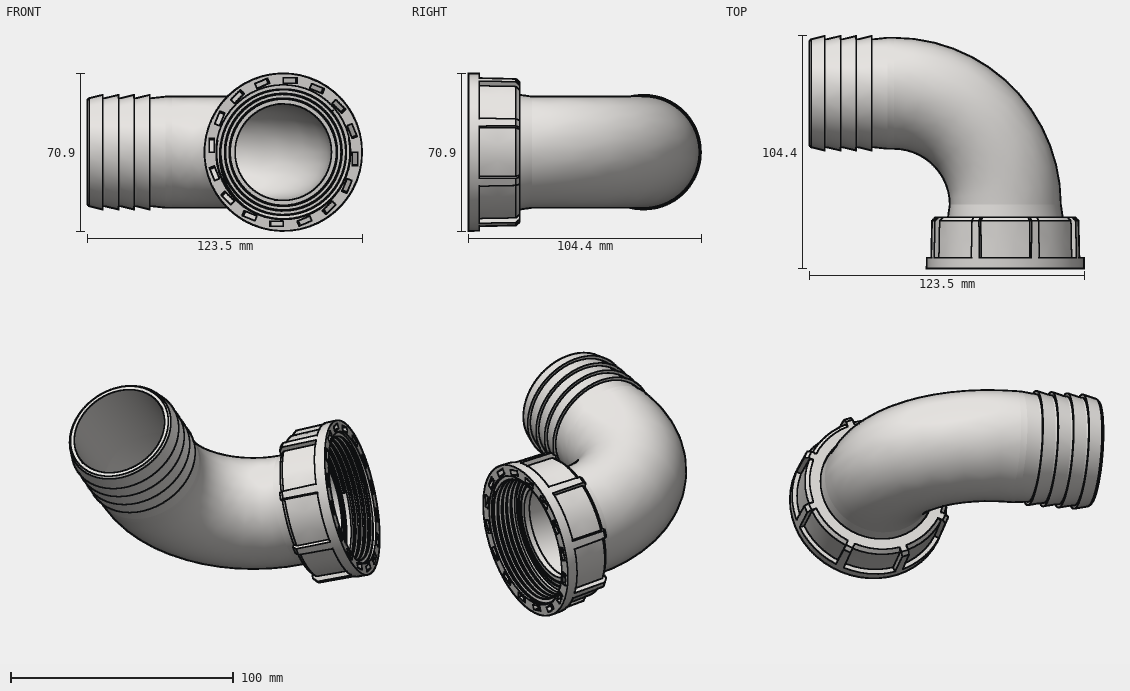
import cadquery as cq

NUT_AXIS_X = 88.0
HOSE_AXIS_Y = 78.6
BEND_RADIUS = 50.0
BORE_DIAMETER = 43.3
TUBE_DIAMETER = 50.0
NECK_DIAMETER = 51.6
COLLAR_DIAMETER = 56.0

BARB_COUNT = 4
BARB_PITCH = 7.0
BARB_DIAMETER = 51.6
VALLEY_DIAMETER = 48.6
VALLEY_WIDTH = 1.0
TIP_CHAMFER_LENGTH = 1.0
TIP_CHAMFER_DEPTH = 0.9
BARB_RUNOUT_X = 35.2

NUT_HEIGHT = 23.1
NUT_DIAMETER = 70.9
NUT_TOP_DIAMETER = 69.9
FLANGE_HEIGHT = 5.0
CORE_DIAMETER = 66.2
CORE_TOP_DIAMETER = 65.2
NUT_CHAMFER = 1.7
RIB_COUNT = 8
RIB_BASE_WIDTH = 4.0
RIB_TOP_WIDTH = 3.3
LIP_HOLE_DIAMETER = 51.9
LIP_THICKNESS = 3.1
CAVITY_DIAMETER = 56.7
MOUTH_DIAMETER = 60.5
MOUTH_DEPTH = 1.2

THREAD_PITCH = 2.3
THREAD_TURNS = 5
THREAD_DEPTH = 1.6
THREAD_START_ANGLE = 40
GROOVE_OVERLAP = 0.4
GROOVE_MOUTH_WIDTH = 2.0
GROOVE_ROOT_WIDTH = 0.9

POCKET_COUNT = 16
POCKET_INNER_RADIUS = 31.0
POCKET_WIDTH = 2.3
POCKET_LENGTH = 6.2
POCKET_DEPTH = 2.0
POCKET_WALL_RUN = 0.6

GASKET_FRONT_Y = 13.1
GASKET_THICKNESS = 2.8
BEAD_DIAMETER = 0.5
BEAD_CIRCLE_RADII = (24.1, 26.2)

BEND_START_X = NUT_AXIS_X - BEND_RADIUS
BEND_END_Y = HOSE_AXIS_Y - BEND_RADIUS
COLLAR_FRONT_Y = GASKET_FRONT_Y + GASKET_THICKNESS
LIP_Y = NUT_HEIGHT - LIP_THICKNESS


def revolve_about_nut_axis(points):
    """Solid of revolution about the nut axis from (radius, y) points."""
    profile = cq.Workplane("XY").polyline(points).close()
    return profile.revolve(360, (0, 0, 0), (0, 1, 0)).translate((NUT_AXIS_X, 0, 0))


def nut_cylinder(diameter, y_start, y_end):
    radius = diameter / 2
    return revolve_about_nut_axis([(0, y_start), (radius, y_start), (radius, y_end), (0, y_end)])


def bent_rod(diameter):
    """Quarter-torus rod that joins the hose end to the neck."""
    section = cq.Workplane("YZ", origin=(BEND_START_X, HOSE_AXIS_Y, 0)).circle(diameter / 2)
    return section.revolve(90, (-BEND_RADIUS, 0, 0), (-BEND_RADIUS, -1, 0))


def hose_end():
    """Solid barbed end, revolved about the hose axis."""
    tip_radius = VALLEY_DIAMETER / 2 - TIP_CHAMFER_DEPTH
    valley_radius = VALLEY_DIAMETER / 2
    barb_radius = BARB_DIAMETER / 2
    tube_radius = TUBE_DIAMETER / 2
    points = [(0, 0), (0, tip_radius), (TIP_CHAMFER_LENGTH, valley_radius)]
    for barb in range(1, BARB_COUNT + 1):
        peak_x = barb * BARB_PITCH
        points += [
            (peak_x, barb_radius),
            (peak_x, valley_radius),
            (peak_x + VALLEY_WIDTH, valley_radius),
        ]
    points += [(BARB_RUNOUT_X, tube_radius), (BEND_START_X, tube_radius), (BEND_START_X, 0)]
    profile = cq.Workplane("XY").polyline(points).close()
    return profile.revolve(360, (0, 0, 0), (1, 0, 0)).translate((0, HOSE_AXIS_Y, 0))


def neck_and_collar():
    """Flared neck that passes through the nut lip, with the collar that the lip holds."""
    neck_radius = NECK_DIAMETER / 2
    collar_radius = COLLAR_DIAMETER / 2
    return revolve_about_nut_axis([
        (0, BEND_END_Y),
        (TUBE_DIAMETER / 2, BEND_END_Y),
        (neck_radius, NUT_HEIGHT),
        (neck_radius, LIP_Y),
        (collar_radius, LIP_Y),
        (collar_radius, COLLAR_FRONT_Y),
        (0, COLLAR_FRONT_Y),
    ])


def make_elbow():
    hose_bore = cq.Workplane("YZ", origin=(0, HOSE_AXIS_Y, 0)).circle(BORE_DIAMETER / 2).extrude(BEND_START_X)
    outside = hose_end().union(bent_rod(TUBE_DIAMETER)).union(neck_and_collar())
    return (
        outside.cut(hose_bore)
        .cut(bent_rod(BORE_DIAMETER))
        .cut(nut_cylinder(BORE_DIAMETER, COLLAR_FRONT_Y, BEND_END_Y))
    )


def drafted_blank(base_diameter, top_diameter, base_y):
    """Cone frustum up to the closed end of the nut, with a chamfered top edge."""
    blank = revolve_about_nut_axis([
        (0, base_y),
        (base_diameter / 2, base_y),
        (top_diameter / 2, NUT_HEIGHT),
        (0, NUT_HEIGHT),
    ])
    return blank.faces(">Y").edges().chamfer(NUT_CHAMFER)


def ribs():
    """Grip ribs, narrower toward the closed end; the outer cone trims their length."""
    half_base = RIB_BASE_WIDTH / 2
    half_top = RIB_TOP_WIDTH / 2
    rib = (
        cq.Workplane("XY")
        .polyline([(-half_base, 0), (half_base, 0), (half_top, NUT_HEIGHT), (-half_top, NUT_HEIGHT)])
        .close()
        .extrude(NUT_DIAMETER / 2)
    )
    step = 360 / RIB_COUNT
    all_ribs = cq.Workplane("XY")
    for number in range(RIB_COUNT):
        all_ribs = all_ribs.add(rib.rotate((0, 0, 0), (0, 1, 0), (number + 0.5) * step))
    return all_ribs.combine().translate((NUT_AXIS_X, 0, 0))


def nut_outside():
    envelope = drafted_blank(NUT_DIAMETER, NUT_TOP_DIAMETER, 0)
    flange_and_ribs = ribs().union(nut_cylinder(NUT_DIAMETER, 0, FLANGE_HEIGHT))
    return envelope.intersect(flange_and_ribs).union(
        drafted_blank(CORE_DIAMETER, CORE_TOP_DIAMETER, FLANGE_HEIGHT)
    )


def thread_groove():
    """Helical trapezoid that cuts the thread, starting in the mouth recess."""
    crest_radius = CAVITY_DIAMETER / 2
    inner_radius = crest_radius - GROOVE_OVERLAP
    root_radius = crest_radius + THREAD_DEPTH
    half_mouth = GROOVE_MOUTH_WIDTH / 2
    half_root = GROOVE_ROOT_WIDTH / 2
    helix = cq.Wire.makeHelix(THREAD_PITCH, THREAD_PITCH * THREAD_TURNS, crest_radius)
    groove = (
        cq.Workplane("XZ")
        .polyline([
            (inner_radius, -half_mouth),
            (root_radius, -half_root),
            (root_radius, half_root),
            (inner_radius, half_mouth),
        ])
        .close()
        .sweep(cq.Workplane(helix), isFrenet=True)
    )
    groove = groove.rotate((0, 0, 0), (0, 0, 1), -THREAD_START_ANGLE)
    return groove.rotate((0, 0, 0), (1, 0, 0), -90).translate((NUT_AXIS_X, MOUTH_DEPTH / 2, 0))


def ratchet_pockets():
    """Ramped pockets, each deepening clockwise as seen from the mouth."""
    pocket = (
        cq.Workplane("YZ")
        .polyline([(0, 0), (POCKET_DEPTH, -POCKET_LENGTH + POCKET_WALL_RUN), (0, -POCKET_LENGTH)])
        .close()
        .extrude(POCKET_WIDTH)
        .translate((NUT_AXIS_X + POCKET_INNER_RADIUS, 0, 0))
    )
    axis_start = (NUT_AXIS_X, 0, 0)
    axis_end = (NUT_AXIS_X, 1, 0)
    step = 360 / POCKET_COUNT
    return [pocket.rotate(axis_start, axis_end, number * step) for number in range(POCKET_COUNT)]


def make_nut():
    nut = (
        nut_outside()
        .cut(nut_cylinder(LIP_HOLE_DIAMETER, 0, NUT_HEIGHT))
        .cut(nut_cylinder(CAVITY_DIAMETER, 0, LIP_Y))
        .cut(nut_cylinder(MOUTH_DIAMETER, 0, MOUTH_DEPTH))
    )
    for pocket in ratchet_pockets():
        nut = nut.cut(pocket)
    return nut.cut(thread_groove())


def make_gasket():
    """Flat ring against the collar, with round sealing beads on its front face."""
    gasket = nut_cylinder(COLLAR_DIAMETER, GASKET_FRONT_Y, COLLAR_FRONT_Y)
    for radius in BEAD_CIRCLE_RADII:
        bead = (
            cq.Workplane("XY")
            .center(radius, GASKET_FRONT_Y)
            .circle(BEAD_DIAMETER / 2)
            .revolve(360, (-radius, 0, 0), (-radius, 1, 0))
            .translate((NUT_AXIS_X, 0, 0))
        )
        gasket = gasket.union(bead)
    return gasket.cut(nut_cylinder(BORE_DIAMETER, GASKET_FRONT_Y, COLLAR_FRONT_Y))


elbow = make_elbow()
nut = make_nut()
gasket = make_gasket()

result = cq.Compound.makeCompound([
    elbow.solids().val(),
    nut.solids().val(),
    gasket.solids().val(),
])